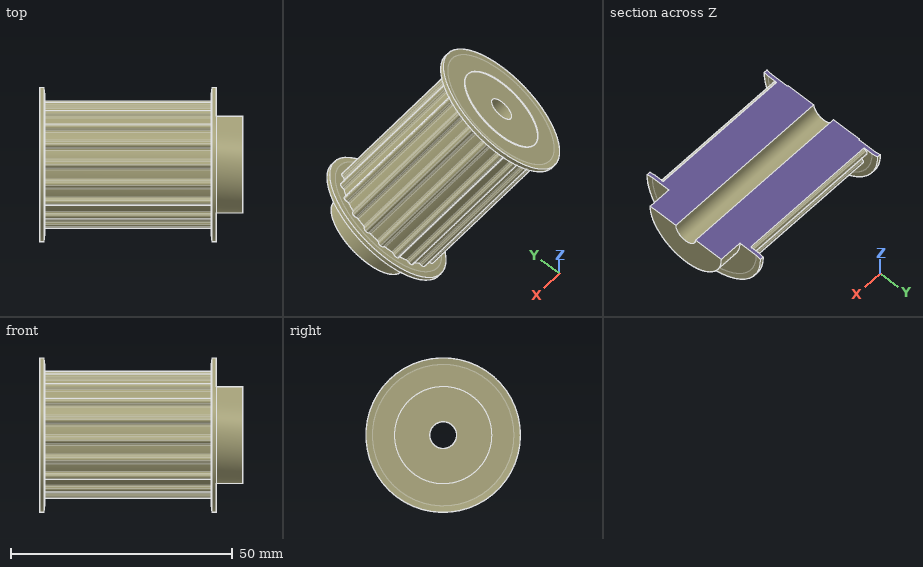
import cadquery as cq
import math


flanged_length = 40.0
hub_length = 6.0
flange_thickness = 1.0
flange_dish = 0.2

bore_radius = 3.0
core_radius = 11.0
flange_radius = 17.5
flange_bend_radius = 16.0
tip_radius = 14.5
root_radius = 13.5

tooth_count = 19
flank_angle = math.radians(25)
tip_flat_half_width = 0.04
tip_rounding = 0.72
root_rounding = 0.45

tooth_start = flange_dish + flange_thickness
tooth_length = flanged_length - 2 * tooth_start


def flank_points():
    """Key (across, outward) points of one tooth side, from its root to its tip."""
    normal = (math.cos(flank_angle), math.sin(flank_angle))
    downhill = (math.sin(flank_angle), -math.cos(flank_angle))

    def offset(start, direction, distance):
        return (start[0] + distance * direction[0], start[1] + distance * direction[1])

    tip_centre = (tip_flat_half_width, tip_radius - tip_rounding)
    middle_angle = (flank_angle + math.pi / 2) / 2
    tip_middle = offset(tip_centre, (math.cos(middle_angle), math.sin(middle_angle)), tip_rounding)
    flank_top = offset(tip_centre, normal, tip_rounding)
    tip_end = (tip_flat_half_width, tip_radius)

    line_start = offset(flank_top, normal, root_rounding)
    along = line_start[0] * downhill[0] + line_start[1] * downhill[1]
    centre_radius = root_radius + root_rounding
    beyond = math.hypot(*line_start) ** 2 - centre_radius ** 2
    flank_length = -along - math.sqrt(along ** 2 - beyond)
    root_centre = offset(line_start, downhill, flank_length)
    flank_bottom = offset(flank_top, downhill, flank_length)
    root_end = offset((0, 0), root_centre, root_radius / centre_radius)
    chord_middle = ((flank_bottom[0] + root_end[0]) / 2, (flank_bottom[1] + root_end[1]) / 2)
    towards_arc = (chord_middle[0] - root_centre[0], chord_middle[1] - root_centre[1])
    root_middle = offset(root_centre, towards_arc, root_rounding / math.hypot(*towards_arc))
    return root_end, root_middle, flank_bottom, flank_top, tip_middle, tip_end


def make_tooth():
    """One tooth pointing along +Z, closed inside the root cylinder."""
    root_end, root_middle, flank_bottom, flank_top, tip_middle, tip_end = flank_points()

    def mirrored(point):
        return (-point[0], point[1])

    return (
        cq.Workplane("YZ", origin=(tooth_start, 0, 0))
        .moveTo(root_end[0], core_radius)
        .lineTo(*root_end)
        .threePointArc(root_middle, flank_bottom)
        .lineTo(*flank_top)
        .threePointArc(tip_middle, tip_end)
        .lineTo(*mirrored(tip_end))
        .threePointArc(mirrored(tip_middle), mirrored(flank_top))
        .lineTo(*mirrored(flank_bottom))
        .threePointArc(mirrored(root_middle), mirrored(root_end))
        .lineTo(-root_end[0], core_radius)
        .close()
        .extrude(tooth_length)
    )


def make_flange():
    """Flange at the X = 0 end, with its rim bent outward towards -X."""
    return (
        cq.Workplane("XY")
        .moveTo(flange_dish, 0)
        .lineTo(flange_dish, flange_bend_radius)
        .lineTo(0, flange_radius)
        .lineTo(flange_thickness, flange_radius)
        .lineTo(tooth_start, flange_bend_radius)
        .lineTo(tooth_start, 0)
        .close()
        .revolve(360, (0, 0, 0), (1, 0, 0))
    )


def make_cylinder(start, length, radius):
    return cq.Workplane("YZ", origin=(start, 0, 0)).circle(radius).extrude(length)


body = make_cylinder(tooth_start, tooth_length, root_radius)
tooth = make_tooth()
for index in range(tooth_count):
    body = body.union(tooth.rotate((0, 0, 0), (1, 0, 0), index * 360 / tooth_count))

near_flange = make_flange()
far_flange = near_flange.mirror("YZ").translate((flanged_length, 0, 0))
body = body.union(near_flange).union(far_flange)

core_length = flanged_length + hub_length
body = body.union(make_cylinder(0, core_length, core_radius))

result = body.cut(make_cylinder(0, core_length, bore_radius))